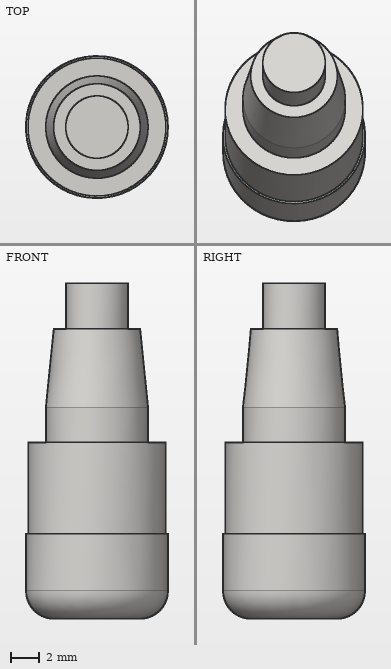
import cadquery as cq

cap_top = 6.0
barrel_top = 12.41
neck_top = 14.9
taper_top = 20.4
pin_top = 23.6

cap_diameter = 10.0
barrel_diameter = 9.7
neck_diameter = 7.2
taper_end_diameter = 6.1
pin_diameter = 4.4

cap_edge_radius = 2.0


def make_cap():
    """Solid round cap with a rounded bottom edge."""
    return (
        cq.Workplane("XY")
        .circle(cap_diameter / 2)
        .extrude(cap_top)
        .faces("<Z")
        .edges()
        .fillet(cap_edge_radius)
    )


def make_stem():
    """Turned stem standing on the cap: barrel, neck, tapered nose and end pin."""
    half_profile = (
        cq.Workplane("XZ")
        .moveTo(0, cap_top)
        .lineTo(barrel_diameter / 2, cap_top)
        .lineTo(barrel_diameter / 2, barrel_top)
        .lineTo(neck_diameter / 2, barrel_top)
        .lineTo(neck_diameter / 2, neck_top)
        .lineTo(taper_end_diameter / 2, taper_top)
        .lineTo(pin_diameter / 2, taper_top)
        .lineTo(pin_diameter / 2, pin_top)
        .lineTo(0, pin_top)
        .close()
    )
    return half_profile.revolve(360, (0, 0, 0), (0, 1, 0))


cap = make_cap()
stem = make_stem()

result = cq.Compound.makeCompound([cap.val(), stem.val()])